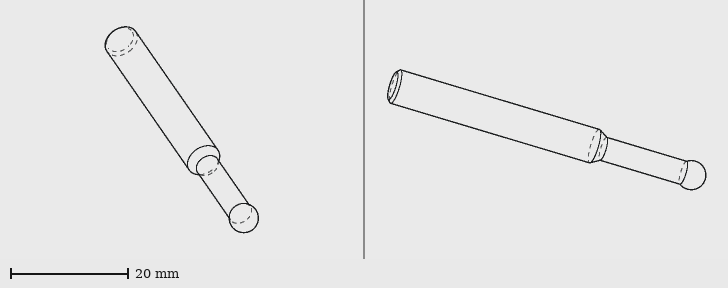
import cadquery as cq
import math

total_length = 57.0
shank_radius = 6.0 / 2
shank_end = 36.8
end_chamfer = 0.5
neck_radius = 4.1 / 2
taper_half_angle = math.radians(30)
ball_radius = 5.0 / 2

taper_end = shank_end + (shank_radius - neck_radius) / math.tan(taper_half_angle)
ball_center = total_length - ball_radius
neck_end = ball_center - math.sqrt(ball_radius**2 - neck_radius**2)

profile = (
    cq.Workplane("XY")
    .moveTo(0, 0)
    .lineTo(0, shank_radius - end_chamfer)
    .lineTo(end_chamfer, shank_radius)
    .lineTo(shank_end, shank_radius)
    .lineTo(taper_end, neck_radius)
    .lineTo(neck_end, neck_radius)
    .threePointArc((ball_center, ball_radius), (total_length, 0))
    .close()
)

result = profile.revolve(360, (0, 0, 0), (1, 0, 0))